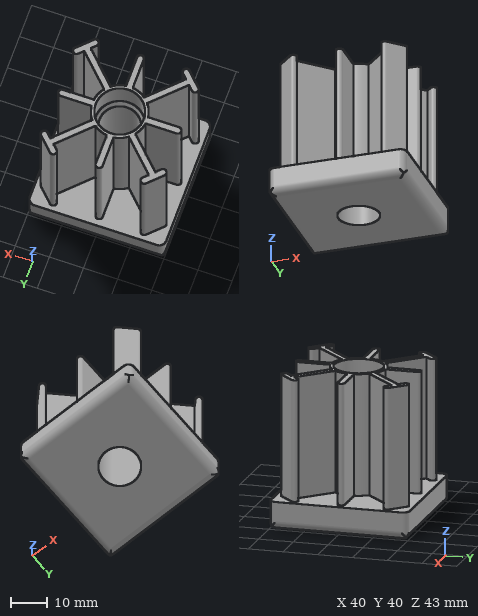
import cadquery as cq

total_height = 43.0
plate_size = 40.0
plate_height = 8.0
plate_corner_radius = 2.0
plate_bottom_radius = 2.35

tube_diameter = 16.0
bore_top_diameter = 14.0
bore_bottom_diameter = 11.82
bore_top_depth = 8.7

rib_thickness = 2.0
straight_rib_reach = 18.0
bar_center_distance = 21.7
bar_length = 7.75

rib_height = total_height - plate_height
quarter_turns = (0, 90, 180, 270)
diagonal_angle = 45


def make_plate():
    """Square cap with mitred, rounded bottom edges and rounded upright corners."""
    rounded_below = (
        cq.Workplane("XY")
        .box(plate_size, plate_size, plate_height, centered=(True, True, False))
        .faces("<Z").edges().fillet(plate_bottom_radius)
    )
    corner_prism = (
        cq.Workplane("XY")
        .box(plate_size, plate_size, plate_height, centered=(True, True, False))
        .edges("|Z").fillet(plate_corner_radius)
    )
    return rounded_below.intersect(corner_prism)


def make_straight_rib():
    """Radial rib along +X with a rounded outer tip."""
    tip_center = straight_rib_reach - rib_thickness / 2
    web = (
        cq.Workplane("XY", origin=(0, 0, plate_height))
        .box(tip_center, rib_thickness, rib_height, centered=(False, True, False))
    )
    tip = (
        cq.Workplane("XY", origin=(tip_center, 0, plate_height))
        .circle(rib_thickness / 2).extrude(rib_height)
    )
    return web.union(tip)


def make_corner_rib():
    """T-shaped rib along +X, ending in a crosswise bar with rounded ends."""
    web = (
        cq.Workplane("XY", origin=(0, 0, plate_height))
        .box(bar_center_distance, rib_thickness, rib_height, centered=(False, True, False))
    )
    bar = (
        cq.Workplane("XY", origin=(bar_center_distance, 0, plate_height))
        .slot2D(bar_length, rib_thickness, 90).extrude(rib_height)
    )
    return web.union(bar)


def make_bore():
    """Through bore, wider at the open end, with a 45 degree conical step between its diameters."""
    step_depth = (bore_top_diameter - bore_bottom_diameter) / 2
    step_top = total_height - bore_top_depth
    narrow = cq.Workplane("XY").circle(bore_bottom_diameter / 2).extrude(total_height)
    cone = (
        cq.Workplane("XY", origin=(0, 0, step_top - step_depth))
        .circle(bore_bottom_diameter / 2)
        .workplane(offset=step_depth)
        .circle(bore_top_diameter / 2)
        .loft(ruled=True)
    )
    wide = (
        cq.Workplane("XY", origin=(0, 0, step_top))
        .circle(bore_top_diameter / 2).extrude(bore_top_depth)
    )
    return narrow.union(cone).union(wide)


result = make_plate()
tube = cq.Workplane("XY", origin=(0, 0, plate_height)).circle(tube_diameter / 2).extrude(rib_height)
result = result.union(tube)

straight_rib = make_straight_rib()
corner_rib = make_corner_rib()
for turn in quarter_turns:
    result = result.union(straight_rib.rotate((0, 0, 0), (0, 0, 1), turn))
    result = result.union(corner_rib.rotate((0, 0, 0), (0, 0, 1), turn + diagonal_angle))

result = result.cut(make_bore())